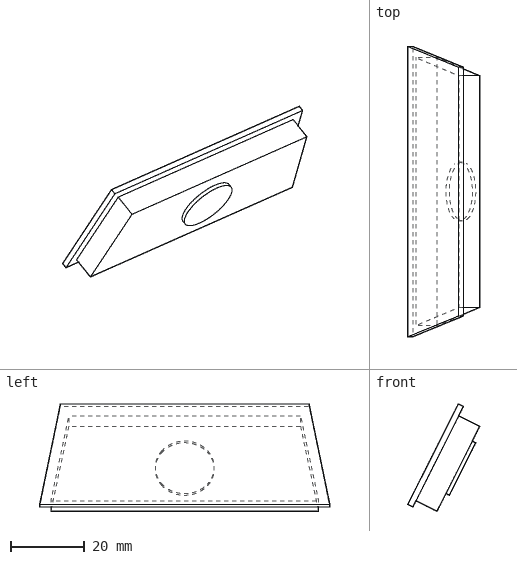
import cadquery as cq
import math

plate_bottom_length = 78.75
plate_top_length = 67.5
plate_height = 30.55
plate_thickness = 1.6
plate_tilt = 63.3

block_bottom_length = 72.6
block_top_length = 62.85
block_height = 25.8
block_thickness = 6.4
block_bottom_margin = 1.9

pad_diameter = 16.0
pad_thickness = 1.0
pad_center_above_block = 13.4

tilt = math.radians(plate_tilt)
face_plane = cq.Plane(
    origin=(0, 0, 0),
    xDir=(0, 1, 0),
    normal=(math.sin(tilt), 0, -math.cos(tilt)),
)


def trapezoid_slab(bottom_length, top_length, height, thickness, bottom, depth):
    """Symmetric slab starting at a height up the slope and a depth behind the face."""
    top = bottom + height
    return (
        cq.Workplane(face_plane)
        .workplane(offset=depth)
        .polyline([
            (-bottom_length / 2, bottom),
            (bottom_length / 2, bottom),
            (top_length / 2, top),
            (-top_length / 2, top),
        ])
        .close()
        .extrude(thickness)
    )


plate = trapezoid_slab(
    plate_bottom_length, plate_top_length, plate_height, plate_thickness, 0, 0
)
block = trapezoid_slab(
    block_bottom_length, block_top_length, block_height, block_thickness,
    block_bottom_margin, plate_thickness,
)
pad = (
    cq.Workplane(face_plane)
    .workplane(offset=plate_thickness + block_thickness)
    .center(0, block_bottom_margin + pad_center_above_block)
    .circle(pad_diameter / 2)
    .extrude(pad_thickness)
)

result = plate.union(block).union(pad)